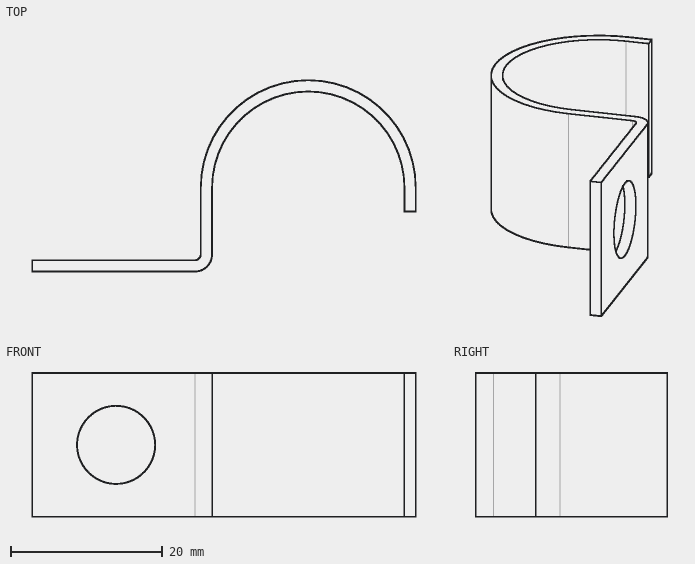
import cadquery as cq


thickness = 1.524
width = 19.05

saddle_inner_radius = 12.7
saddle_outer_radius = saddle_inner_radius + thickness
free_leg_length = 3.175

flange_end_x = -36.5
flange_bottom_y = -11.1
flange_top_y = flange_bottom_y + thickness

bend_inner_radius = 0.762
bend_outer_radius = bend_inner_radius + thickness
bend_center_x = -saddle_outer_radius - bend_inner_radius
bend_center_y = flange_top_y + bend_inner_radius

hole_diameter = 10.3
hole_from_flange_end = 11.1


def bent_strip():
    """Strip with a flat flange, a bend, a straight leg, a half-round saddle and a short free leg."""
    return (
        cq.Workplane("XY")
        .workplane(offset=-width / 2)
        .moveTo(flange_end_x, flange_bottom_y)
        .lineTo(bend_center_x, flange_bottom_y)
        .radiusArc((-saddle_inner_radius, bend_center_y), -bend_outer_radius)
        .lineTo(-saddle_inner_radius, 0)
        .threePointArc((0, saddle_inner_radius), (saddle_inner_radius, 0))
        .lineTo(saddle_inner_radius, -free_leg_length)
        .lineTo(saddle_outer_radius, -free_leg_length)
        .lineTo(saddle_outer_radius, 0)
        .threePointArc((0, saddle_outer_radius), (-saddle_outer_radius, 0))
        .lineTo(-saddle_outer_radius, bend_center_y)
        .radiusArc((bend_center_x, flange_top_y), bend_inner_radius)
        .lineTo(flange_end_x, flange_top_y)
        .close()
        .extrude(width)
    )


def mounting_hole():
    """Cylinder along Y that passes through the flange only."""
    return (
        cq.Workplane("XZ", origin=(flange_end_x + hole_from_flange_end, flange_top_y, 0))
        .circle(hole_diameter / 2)
        .extrude(thickness)
    )


result = bent_strip().cut(mounting_hole())